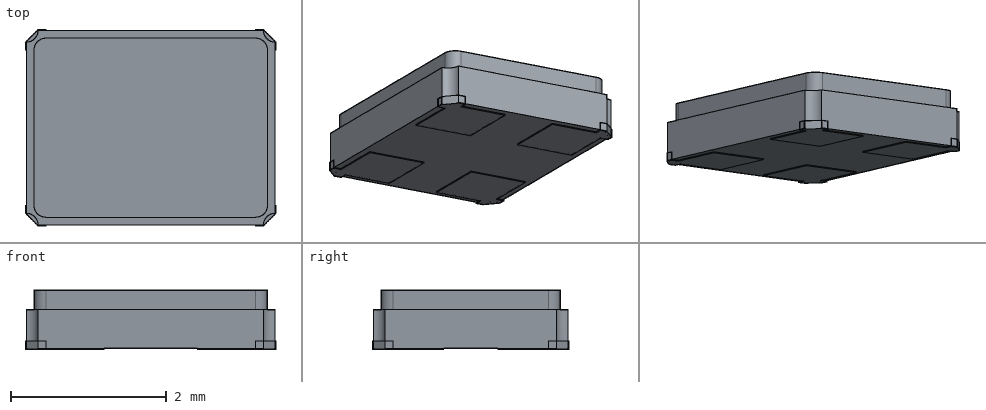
import cadquery as cq

overall_length = 3.22
overall_width = 2.52
overall_height = 0.76

wall_projection = 0.01
plate_thickness = 0.013
plate_inset = 0.1
pad_length = 1.01
pad_width = 0.91
wall_reach = 0.26
wall_height = 0.11

base_length = overall_length - 2 * wall_projection
base_width = overall_width - 2 * wall_projection
lid_height = 0.25
plate_area_length = base_length - 2 * plate_inset
plate_area_width = base_width - 2 * plate_inset
base_height = overall_height - lid_height - plate_thickness
lid_inset = 0.1
lid_corner_radius = 0.15
notch_radius = 0.15

wall_chamfer = notch_radius + wall_projection


def make_base():
    """Plain base block with a round notch down each vertical corner."""
    block = (
        cq.Workplane("XY", origin=(0, 0, plate_thickness))
        .rect(base_length, base_width)
        .extrude(base_height)
    )
    notches = (
        cq.Workplane("XY", origin=(0, 0, plate_thickness))
        .rect(base_length, base_width, forConstruction=True)
        .vertices()
        .circle(notch_radius)
        .extrude(base_height)
    )
    return block.cut(notches)


def make_lid():
    """Raised top of the housing with rounded vertical corners."""
    return (
        cq.Workplane("XY", origin=(0, 0, overall_height - lid_height))
        .rect(base_length - 2 * lid_inset, base_width - 2 * lid_inset)
        .extrude(lid_height)
        .edges("|Z")
        .fillet(lid_corner_radius)
    )


def make_pad(x_side, y_side, base):
    """Corner pad; x_side and y_side are +1 or -1 and choose the corner."""
    plate = (
        cq.Workplane("XY")
        .center(x_side * (overall_length - pad_length) / 2, y_side * (overall_width - pad_width) / 2)
        .rect(pad_length, pad_width)
        .extrude(plate_thickness)
        .intersect(cq.Workplane("XY").rect(plate_area_length, plate_area_width).extrude(plate_thickness))
    )
    wall = (
        cq.Workplane("XY")
        .center(x_side * (overall_length - wall_reach) / 2, y_side * (overall_width - wall_reach) / 2)
        .rect(wall_reach, wall_reach)
        .extrude(wall_height)
    )
    corner_x = x_side * overall_length / 2
    corner_y = y_side * overall_width / 2
    corner_cut = (
        cq.Workplane("XY")
        .moveTo(corner_x, corner_y)
        .lineTo(corner_x - x_side * wall_chamfer, corner_y)
        .lineTo(corner_x, corner_y - y_side * wall_chamfer)
        .close()
        .extrude(wall_height)
    )
    return plate.union(wall).cut(corner_cut).cut(base)


base = make_base()
housing = base.union(make_lid())

pads = []
for x_side in (-1, 1):
    for y_side in (-1, 1):
        pads.append(make_pad(x_side, y_side, base).val())

result = cq.Compound.makeCompound([housing.val(), *pads])